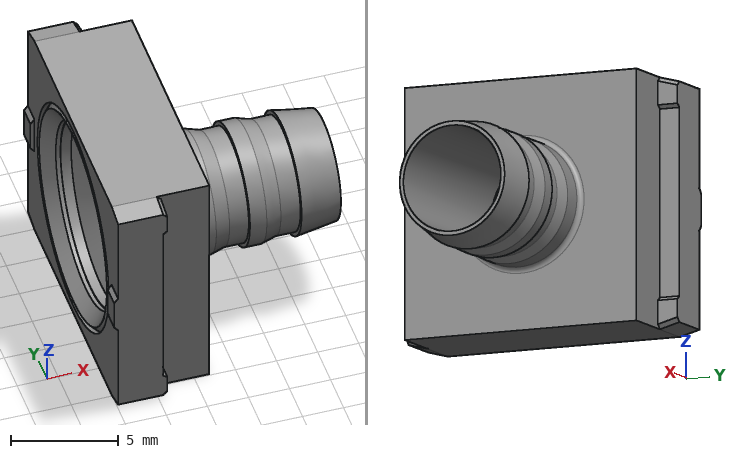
import cadquery as cq

width = 13.9
block_side = 11.9
block_depth = 4.75
half_width = width / 2
half_side = block_side / 2
wing_reach = half_width - half_side

wing_depth = 2.2
ear_height = 0.21
wing_bevel = 0.26
ear_inner_z = 4.45
ear_slope_run = 0.17

tab_height = 0.2
tab_base_half = 1.0
tab_tip_half = 0.76

barb_end = 12.4 - tab_height
crest_radius = 3.0
neck_radius = 2.8
tip_radius = 2.7
root_radius = 0.25
first_crest_end = 6.02
first_neck_start = 6.73
second_crest_start = 7.67
second_crest_end = 8.48
second_neck_start = 9.23
tip_crest_start = 10.19

bore_radius = 2.5
throat_radius = 4.5
throat_length = 0.51
funnel_length = 1.22

ring_outer_radius = 5.49
ring_inner_radius = 4.55
ring_lip_radius = 5.2
ring_cone_length = 0.6
ring_length = 0.82


def revolve_about_x(profile):
    """Turn an outline of (X, radius) drawn on the XY plane around the X axis."""
    return profile.close().revolve(360, (0, 0, 0), (1, 0, 0))


def wing_outline(end_z):
    """Corner points (X, Z) of a wing section that ends at +/- end_z."""
    ear_depth = wing_depth + ear_height
    upper_rear = [
        (wing_depth, ear_inner_z),
        (ear_depth, ear_inner_z + ear_slope_run),
        (ear_depth, end_z - ear_height),
        (wing_depth, end_z),
        (0, end_z),
    ]
    lower_rear = [(x, -z) for x, z in reversed(upper_rear)]
    return upper_rear + lower_rear


def make_wing(side):
    """Wing on the +Y (side = 1) or -Y (side = -1) face, tapering outwards."""
    root_plane = cq.Plane((0, side * half_side, 0), (1, 0, 0), (0, side, 0))
    return (
        cq.Workplane(root_plane)
        .polyline(wing_outline(half_side)).close()
        .workplane(offset=wing_reach)
        .polyline(wing_outline(half_side - wing_bevel)).close()
        .loft(ruled=True)
    )


def make_tab(side):
    """Locating tab with sloped ends on the front of one wing."""
    center_y = side * (half_side + wing_reach / 2)
    return (
        cq.Workplane("XZ", origin=(0, center_y, 0))
        .polyline([
            (0, -tab_base_half),
            (-tab_height, -tab_tip_half),
            (-tab_height, tab_tip_half),
            (0, tab_base_half),
        ])
        .close()
        .extrude(wing_reach / 2, both=True)
    )


def make_barb():
    """Solid hose barb with its root fillet, starting at the back of the block."""
    root_end = block_depth + root_radius
    return revolve_about_x(
        cq.Workplane("XY")
        .moveTo(block_depth, 0)
        .lineTo(block_depth, crest_radius + root_radius)
        .radiusArc((root_end, crest_radius), -root_radius)
        .lineTo(first_crest_end, crest_radius)
        .lineTo(first_neck_start, neck_radius)
        .lineTo(second_crest_start, neck_radius)
        .lineTo(second_crest_start, crest_radius)
        .lineTo(second_crest_end, crest_radius)
        .lineTo(second_neck_start, neck_radius)
        .lineTo(tip_crest_start, neck_radius)
        .lineTo(tip_crest_start, crest_radius)
        .lineTo(barb_end, tip_radius)
        .lineTo(barb_end, 0)
    )


def make_bore():
    """Cutter: ring counterbore, throat, funnel and through bore."""
    throat_end = ring_length + throat_length
    return revolve_about_x(
        cq.Workplane("XY")
        .polyline([
            (0, 0),
            (0, ring_outer_radius),
            (ring_length, ring_outer_radius),
            (ring_length, throat_radius),
            (throat_end, throat_radius),
            (throat_end + funnel_length, bore_radius),
            (barb_end, bore_radius),
            (barb_end, 0),
        ])
    )


def make_housing():
    """Block with wings, tabs and hose barb, bored through along X."""
    body = cq.Workplane("XY").box(block_depth, block_side, block_side, centered=(False, True, True))
    for side in (1, -1):
        body = body.union(make_wing(side)).union(make_tab(side))
    return body.union(make_barb()).cut(make_bore())


def make_seal_ring():
    """Ring with a sharp front lip, bevelled outside and conical inside."""
    lip_bevel = ring_outer_radius - ring_lip_radius
    return revolve_about_x(
        cq.Workplane("XY")
        .polyline([
            (0, ring_lip_radius),
            (lip_bevel, ring_outer_radius),
            (ring_length, ring_outer_radius),
            (ring_length, ring_inner_radius),
            (ring_cone_length, ring_inner_radius),
        ])
    )


housing = make_housing()
seal_ring = make_seal_ring()

result = cq.Compound.makeCompound([housing.solids().val(), seal_ring.val()])